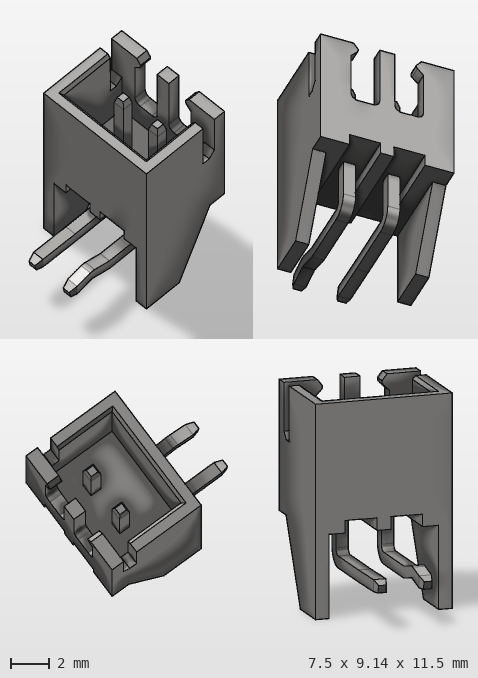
import cadquery as cq

width = 7.5
depth = 5.75
height = 11.5
wall = 0.75

leg_height = 4.5
back_foot_depth = 1.07
leg_depth = 2.42

cavity_depth = 5.35
rim_chamfer = 0.18

side_slot_width = 0.84
side_slot_depth = 2.99
side_slot_chamfer = 0.39

window_half_width = 2.04
window_depth = 3.84
window_fillet = 0.38
post_width = 0.85
hook_tip_x = 1.63
hook_lead_in = 0.28
hook_lead_in_height = 0.35
hook_tip_height = 0.15
hook_tip_fillet = 0.21

notch_width = 1.75
notch_depth = 0.67

pin_pitch = 2.5
pin_width = 0.68
pin_thickness = 0.64
pin_y = 3.34
pin_top = 10.35
pin_bottom = 1.97
pin_end_y = -3.39
inner_bend_radius = 0.35
pin_tip_side_taper = 0.13

upper_tip_length = 0.45
upper_tip_taper = 0.1

kink_start_y = -0.54
crest_y = -1.78
crest_rise = 0.31
crest_radius = 0.65
tip_start_y = -2.92
tip_start_rise = 0.04
tip_drop = 0.22
tip_end_slant = 0.1

inner_width = width - 2 * wall
back_wall_front = depth - wall


def box(x_min, x_max, y_min, y_max, z_min, z_max):
    """Axis-aligned block given by its limits."""
    return (
        cq.Workplane("XY")
        .box(x_max - x_min, y_max - y_min, z_max - z_min, centered=False)
        .translate((x_min, y_min, z_min))
    )


def extrude_across(points, total_width):
    """Extrude a closed (y, z) outline symmetrically about x = 0."""
    return cq.Workplane("YZ").polyline(points).close().extrude(total_width / 2, both=True)


def extrude_along_depth(points, y_min, y_max):
    """Extrude a closed (x, z) outline from y_min to y_max."""
    outline = cq.Workplane("XZ", origin=(0, y_max, 0)).polyline(points).close()
    return outline.extrude(y_max - y_min)


def outer_block():
    """Solid block with the sloping rear edge of the two legs."""
    return extrude_across(
        [
            (0, 0),
            (leg_depth, 0),
            (depth - back_foot_depth, leg_height),
            (depth, leg_height),
            (depth, height),
            (0, height),
        ],
        width,
    )


def cavity():
    """Open cavity with a chamfered rim on the front and side walls."""
    half = inner_width / 2
    pocket = box(-half, half, wall, back_wall_front, height - cavity_depth, height)
    rim = (
        cq.Workplane("XY", origin=(0, 0, height - rim_chamfer))
        .rect(inner_width, 2 * (back_wall_front - wall))
        .workplane(offset=rim_chamfer)
        .rect(inner_width + 2 * rim_chamfer, 2 * (back_wall_front - wall + rim_chamfer))
        .loft(combine=True)
        .translate((0, back_wall_front, 0))
    )
    front_of_back_wall = box(-width, width, 0, back_wall_front, 0, height)
    return pocket.union(rim.intersect(front_of_back_wall))


def side_slots():
    """Slots through both side walls, with a chamfered rear floor corner."""
    floor = height - side_slot_depth
    front = back_wall_front - side_slot_width
    return extrude_across(
        [
            (front, height),
            (front, floor),
            (back_wall_front - side_slot_chamfer, floor),
            (back_wall_front, floor + side_slot_chamfer),
            (back_wall_front, height),
        ],
        width,
    )


def latch_opening():
    """Opening between the post and the right-hand hooked arm of the back wall."""
    floor = height - window_depth
    post_side = post_width / 2
    tip_top = height - hook_lead_in_height
    tip_bottom = tip_top - hook_tip_height
    undercut = window_half_width - hook_tip_x
    opening = extrude_along_depth(
        [
            (post_side, height),
            (post_side, floor),
            (window_half_width, floor),
            (window_half_width, tip_bottom - undercut),
            (hook_tip_x, tip_bottom),
            (hook_tip_x, tip_top),
            (hook_tip_x + hook_lead_in, height),
        ],
        back_wall_front,
        depth,
    )

    def edge_at(x, z):
        middle = (x, (back_wall_front + depth) / 2, z)
        return cq.selectors.NearestToPointSelector(middle)

    for corner_x in (post_side, window_half_width):
        opening = opening.edges(edge_at(corner_x, floor)).fillet(window_fillet)
    return opening.edges(edge_at(hook_tip_x, tip_bottom)).fillet(hook_tip_fillet)


def housing():
    body = outer_block()
    half = inner_width / 2
    body = body.cut(box(-half, half, 0, depth, 0, leg_height))
    body = body.cut(cavity()).cut(side_slots())
    right_opening = latch_opening()
    body = body.cut(right_opening).cut(right_opening.mirror("YZ"))
    for x in (-pin_pitch / 2, pin_pitch / 2):
        left = x - notch_width / 2
        notch = box(left, left + notch_width, 0, depth, leg_height, leg_height + notch_depth)
        body = body.cut(notch)
    return body


def pin(kinked):
    """Right-angle pin with pointed ends, optionally with a retention kink."""
    front = pin_y - pin_thickness / 2
    back = pin_y + pin_thickness / 2
    tail_top = pin_bottom + pin_thickness
    upper_tip_base = pin_top - upper_tip_length
    tip_top = tail_top + tip_start_rise
    tip_bottom = pin_bottom + tip_start_rise
    crest_over = [(crest_y, tail_top + crest_rise)] if kinked else []
    crest_under = [(crest_y, pin_bottom + crest_rise)] if kinked else []

    outline = [
        (back, pin_bottom),
        (back, upper_tip_base),
        (back - upper_tip_taper, pin_top),
        (front + upper_tip_taper, pin_top),
        (front, upper_tip_base),
        (front, tail_top),
        (kink_start_y, tail_top),
        *crest_over,
        (tip_start_y, tip_top),
        (pin_end_y, tip_top - tip_drop),
        (pin_end_y + tip_end_slant, tip_bottom),
        (tip_start_y, tip_bottom),
        *crest_under,
        (kink_start_y, pin_bottom),
    ]
    blank = extrude_across(outline, pin_width)

    def edge_at(y, z):
        return cq.selectors.NearestToPointSelector((0, y, z))

    blank = blank.edges(edge_at(front, tail_top)).fillet(inner_bend_radius)
    blank = blank.edges(edge_at(back, pin_bottom)).fillet(inner_bend_radius + pin_thickness)
    if kinked:
        blank = blank.edges(edge_at(*crest_over[0])).fillet(crest_radius)

    half = pin_width / 2
    end_half = half - pin_tip_side_taper
    plan = (
        cq.Workplane("XY")
        .polyline(
            [
                (-half, back),
                (-half, tip_start_y),
                (-end_half, pin_end_y),
                (end_half, pin_end_y),
                (half, tip_start_y),
                (half, back),
            ]
        )
        .close()
        .extrude(height)
    )
    elevation = extrude_along_depth(
        [
            (-half, 0),
            (-half, upper_tip_base),
            (-end_half, pin_top),
            (end_half, pin_top),
            (half, upper_tip_base),
            (half, 0),
        ],
        pin_end_y,
        back,
    )
    return blank.intersect(plan).intersect(elevation)


result = (
    housing()
    .union(pin(kinked=False).translate((-pin_pitch / 2, 0, 0)))
    .union(pin(kinked=True).translate((pin_pitch / 2, 0, 0)))
)